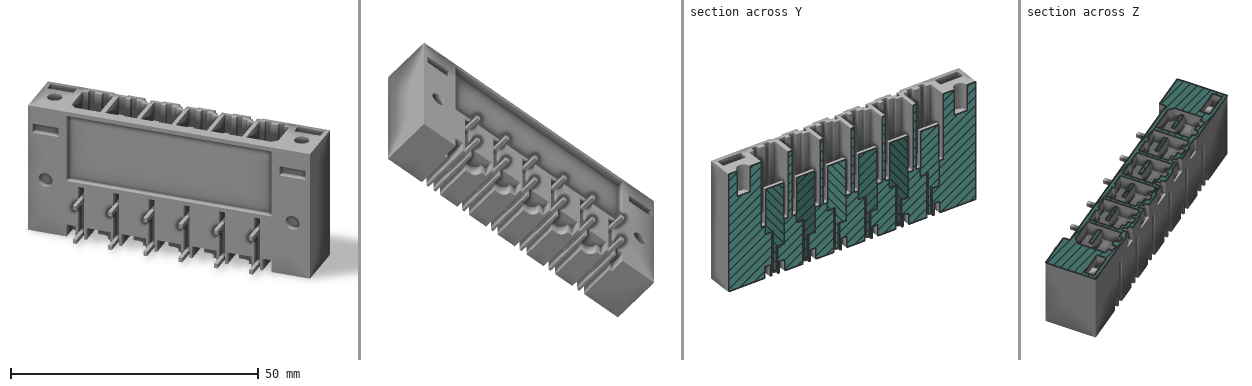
import cadquery as cq
import math


LENGTH = 60.95
DEPTH = 11.35
HEIGHT = 28.3

WAYS = 6
PITCH = 7.6
WAY_X = [(i - (WAYS - 1) / 2) * PITCH for i in range(WAYS)]

RECESS_LENGTH = 44.25
RECESS_DEPTH = 1.45
RECESS_BOTTOM = 12.6
RECESS_TOP = 27.4

CAVITY_FLOOR = RECESS_BOTTOM
CAVITY_FRONT = 2.4
CAVITY_BACK = 9.7
CAVITY_SIDE = 3.3
KEYWAY_BACK = 10.65
END_CORNER = 1.05
END_OUTER_BACK = 9.6
END_INNER_BACK = 9.95
END_KEYWAY_NEAR = 0.8
END_KEYWAY_FAR = 2.15
MID_RIGHT_SIDE = 3.5
MID_LEFT_BACK = 10.3
MID_LEFT_STEP = 1.65
MID_RIGHT_BACK = 9.0
MID_RIGHT_STEP = 2.0
MID_KEYWAY_HALF = 0.7
RIB_HALF = 0.6
RIB_HEIGHT = 0.35

GROOVE_SHALLOW = 0.35
GROOVE_MIDDLE = 0.9
GROOVE_DEEP = 1.65
GROOVE_START = 2.0
GROOVE_STEP = 2.75
GROOVE_DEEP_END = 3.5
GROOVE_END = 5.85
LAST_GROOVE_END = 4.45
FIRST_GROOVE_START = 3.1

FLANGE_X = 26.7
POCKET_LENGTH = 5.65
POCKET_WIDTH = 2.1
SCREW_HOLE_DIAMETER = 3.1
SCREW_HOLE_Y = 5.25
SCREW_HOLE_DEPTH = 6.1
FRONT_HOLE_DIAMETER = 3.05
FRONT_HOLE_Z = 12.0
FRONT_HOLE_DEPTH = 1.3
FRONT_POCKET_BOTTOM = 22.25
FRONT_POCKET_DEPTH = 1.45
TOP_POCKET_FRONT = 8.4
TOP_POCKET_FLOOR = FRONT_HOLE_Z
BOSS_RADIUS = 2.3

SKIRT_HEIGHT = 2.7
SLOT_WIDTH = 1.3
SLOT_TOP = 11.7
SLOT_WALL = 0.55
BLOCK_START = 2.45
BLOCK_FRONT = 1.75
SCOOP_RADIUS = 1.6
SCOOP_BACK = BLOCK_FRONT + SCOOP_RADIUS
BLOCK_END = PITCH - BLOCK_START

METAL = 0.8
PIN_LENGTH = 3.55
PIN_HEIGHT = 1.0
LOWER_PIN_BOTTOM = 0.6
UPPER_PIN_BOTTOM = 8.2
PLATE_FRONT = 1.5
BLADE_WIDTH = 4.5
BLADE_FRONT = 5.25
BLADE_BOTTOM = 10.6
BLADE_TOP = 21.35
TAB_BOTTOM = 6.65


def box(x0, x1, y0, y1, z0, z1):
    """Box between two opposite corners."""
    return cq.Workplane("XY").box(x1 - x0, y1 - y0, z1 - z0, centered=False).translate((x0, y0, z0))


def prism(outline, z0, z1):
    """Straight prism from an XY outline."""
    return cq.Workplane("XY").workplane(offset=z0).polyline(outline).close().extrude(z1 - z0)



def end_cavity():
    """Cavity of the leftmost way, centred on X = 0."""
    outline = [
        (-CAVITY_SIDE, CAVITY_FRONT + END_CORNER),
        (END_CORNER - CAVITY_SIDE, CAVITY_FRONT),
        (CAVITY_SIDE, CAVITY_FRONT),
        (CAVITY_SIDE, END_INNER_BACK),
        (END_KEYWAY_FAR, END_INNER_BACK),
        (END_KEYWAY_FAR, KEYWAY_BACK),
        (END_KEYWAY_NEAR, KEYWAY_BACK),
        (END_KEYWAY_NEAR, CAVITY_BACK),
        (-END_KEYWAY_NEAR, CAVITY_BACK),
        (-END_KEYWAY_NEAR, KEYWAY_BACK),
        (-END_KEYWAY_FAR, KEYWAY_BACK),
        (-END_KEYWAY_FAR, END_OUTER_BACK),
        (-CAVITY_SIDE, END_OUTER_BACK),
    ]
    return prism(outline, CAVITY_FLOOR, HEIGHT)


def middle_cavity():
    """Cavity of an inner way, centred on X = 0, with a rib on its front wall."""
    outline = [
        (-CAVITY_SIDE, CAVITY_FRONT),
        (-RIB_HALF, CAVITY_FRONT),
        (-RIB_HALF, CAVITY_FRONT + RIB_HEIGHT),
        (RIB_HALF, CAVITY_FRONT + RIB_HEIGHT),
        (RIB_HALF, CAVITY_FRONT),
        (MID_RIGHT_SIDE, CAVITY_FRONT),
        (MID_RIGHT_SIDE, MID_RIGHT_BACK),
        (MID_RIGHT_STEP, MID_RIGHT_BACK),
        (MID_RIGHT_STEP, CAVITY_BACK),
        (MID_KEYWAY_HALF, CAVITY_BACK),
        (MID_KEYWAY_HALF, KEYWAY_BACK),
        (-MID_KEYWAY_HALF, KEYWAY_BACK),
        (-MID_KEYWAY_HALF, CAVITY_BACK),
        (-MID_LEFT_STEP, CAVITY_BACK),
        (-MID_LEFT_STEP, MID_LEFT_BACK),
        (-CAVITY_SIDE, MID_LEFT_BACK),
    ]
    return prism(outline, CAVITY_FLOOR, HEIGHT)


def coding_groove(end):
    """Stepped groove in the back face, to the right of a way at X = 0."""
    outline = [
        (GROOVE_START, DEPTH),
        (GROOVE_START, DEPTH - GROOVE_MIDDLE),
        (GROOVE_STEP, DEPTH - GROOVE_MIDDLE),
        (GROOVE_STEP, DEPTH - GROOVE_DEEP),
        (GROOVE_DEEP_END, DEPTH - GROOVE_DEEP),
        (GROOVE_DEEP_END, DEPTH - GROOVE_SHALLOW),
        (end, DEPTH - GROOVE_SHALLOW),
        (end, DEPTH),
    ]
    return prism(outline, CAVITY_FLOOR, HEIGHT)


def first_groove():
    """Shallow groove to the right of the first way at X = 0."""
    return box(FIRST_GROOVE_START, GROOVE_END, DEPTH - GROOVE_SHALLOW, DEPTH, CAVITY_FLOOR, HEIGHT)


def flange_cuts(x):
    """Screw hole, blind front hole and the two pockets of one flange."""
    x0 = x - POCKET_LENGTH / 2
    x1 = x + POCKET_LENGTH / 2
    screw_hole = (
        cq.Workplane("XY")
        .center(x, SCREW_HOLE_Y)
        .circle(SCREW_HOLE_DIAMETER / 2)
        .extrude(SCREW_HOLE_DEPTH)
        .translate((0, 0, HEIGHT - SCREW_HOLE_DEPTH))
    )
    front_plane = cq.Workplane("XZ").center(x, FRONT_HOLE_Z)
    front_hole = front_plane.circle(FRONT_HOLE_DIAMETER / 2).extrude(-FRONT_HOLE_DEPTH)
    front_pocket = box(
        x0, x1, 0, FRONT_POCKET_DEPTH, FRONT_POCKET_BOTTOM, FRONT_POCKET_BOTTOM + POCKET_WIDTH
    )
    pocket_back = TOP_POCKET_FRONT + POCKET_WIDTH
    boss = front_plane.circle(BOSS_RADIUS).extrude(-DEPTH)
    top_pocket = box(x0, x1, TOP_POCKET_FRONT, pocket_back, TOP_POCKET_FLOOR, HEIGHT).cut(boss)
    return [screw_hole, front_hole, front_pocket, top_pocket]


def underside_block():
    """Block left of a way at X = 0, its front stepping back through a concave scoop."""
    right = -SLOT_WIDTH / 2
    scoop_right = -BLOCK_START
    scoop_left = scoop_right - SCOOP_RADIUS
    diagonal = SCOOP_RADIUS * math.sqrt(0.5)
    return (
        cq.Workplane("XY")
        .moveTo(right, BLOCK_FRONT)
        .lineTo(scoop_right, BLOCK_FRONT)
        .threePointArc((scoop_left + diagonal, BLOCK_FRONT + diagonal), (scoop_left, SCOOP_BACK))
        .lineTo(-BLOCK_END, SCOOP_BACK)
        .lineTo(-BLOCK_END, DEPTH)
        .lineTo(right, DEPTH)
        .close()
        .extrude(SKIRT_HEIGHT)
    )


def underside_cut():
    """Hollow below the ways: all but the slot walls, the blocks and the two end blocks."""
    half = RECESS_LENGTH / 2
    hollow = box(-half, half, 0, DEPTH, 0, SKIRT_HEIGHT)
    end_gap = WAY_X[-1] + BLOCK_START
    hollow = hollow.cut(box(end_gap, half, SCOOP_BACK, DEPTH, 0, SKIRT_HEIGHT))
    hollow = hollow.cut(box(-half, -end_gap, SCOOP_BACK, DEPTH, 0, SKIRT_HEIGHT))
    wall_side = SLOT_WIDTH / 2 + SLOT_WALL
    for x in WAY_X:
        hollow = hollow.cut(box(x - wall_side, x + wall_side, 0, DEPTH, 0, SKIRT_HEIGHT))
    for x in WAY_X[1:]:
        hollow = hollow.cut(underside_block().translate((x, 0, 0)))
    return hollow


def contact_slot(x):
    """Slot of one contact, through the full depth and open at the underside."""
    return box(x - SLOT_WIDTH / 2, x + SLOT_WIDTH / 2, 0, DEPTH, 0, SLOT_TOP)



def make_contact(x):
    """Plate with two pins, folded into a tab that widens to the blade."""
    left = -METAL / 2
    right = METAL / 2
    blade_side = BLADE_WIDTH / 2
    blade_back = BLADE_FRONT + METAL
    plate = box(left, right, PLATE_FRONT, blade_back, LOWER_PIN_BOTTOM, UPPER_PIN_BOTTOM + PIN_HEIGHT)
    tab = box(left, blade_side, BLADE_FRONT, blade_back, TAB_BOTTOM, BLADE_BOTTOM)
    blade = box(-blade_side, blade_side, BLADE_FRONT, blade_back, BLADE_BOTTOM, BLADE_TOP)
    contact = plate.union(tab).union(blade)
    for z in (LOWER_PIN_BOTTOM, UPPER_PIN_BOTTOM):
        contact = contact.union(box(left, right, -PIN_LENGTH, PLATE_FRONT, z, z + PIN_HEIGHT))
    return contact.translate((x, 0, 0))


contacts = [make_contact(x) for x in WAY_X]



def make_housing():
    """Block with every opening cut, including the seats of the contacts."""
    half_recess = RECESS_LENGTH / 2
    cuts = [box(-half_recess, half_recess, 0, RECESS_DEPTH, RECESS_BOTTOM, RECESS_TOP)]
    cuts.append(end_cavity().translate((WAY_X[0], 0, 0)))
    cuts.append(end_cavity().mirror("YZ").translate((WAY_X[-1], 0, 0)))
    for x in WAY_X[1:-1]:
        cuts.append(middle_cavity().translate((x, 0, 0)))
    cuts.append(first_groove().translate((WAY_X[0], 0, 0)))
    for x in WAY_X[1:-2]:
        cuts.append(coding_groove(GROOVE_END).translate((x, 0, 0)))
    cuts.append(coding_groove(LAST_GROOVE_END).translate((WAY_X[-2], 0, 0)))
    for x in (-FLANGE_X, FLANGE_X):
        cuts.extend(flange_cuts(x))
    cuts.append(underside_cut())
    for x in WAY_X:
        cuts.append(contact_slot(x))

    housing = box(-LENGTH / 2, LENGTH / 2, 0, DEPTH, 0, HEIGHT)
    for opening in cuts + contacts:
        housing = housing.cut(opening)
    return housing


housing = make_housing()

result = cq.Compound.makeCompound([housing.val()] + [contact.val() for contact in contacts])